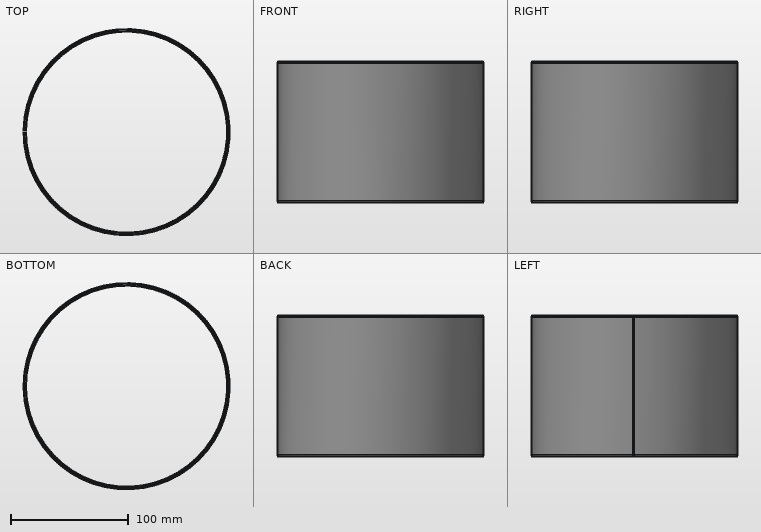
import cadquery as cq

outer_radius = 87.5
height = 120.0
wall = 2.5
outer_bevel_height = 1.8
outer_bevel_depth = 0.7
inner_bevel_height = 0.7
inner_bevel_depth = 0.4
split_angle = 0.95

inner_radius = outer_radius - wall
rim_outer_radius = outer_radius - outer_bevel_depth
rim_inner_radius = inner_radius + inner_bevel_depth
half_height = height / 2

wall_section = (
    cq.Workplane("XZ")
    .moveTo(-rim_inner_radius, -half_height)
    .lineTo(-rim_outer_radius, -half_height)
    .lineTo(-outer_radius, -half_height + outer_bevel_height)
    .lineTo(-outer_radius, half_height - outer_bevel_height)
    .lineTo(-rim_outer_radius, half_height)
    .lineTo(-rim_inner_radius, half_height)
    .lineTo(-inner_radius, half_height - inner_bevel_height)
    .lineTo(-inner_radius, -half_height + inner_bevel_height)
    .close()
)

result = wall_section.revolve(360 - split_angle, (0, 0, 0), (0, 1, 0))